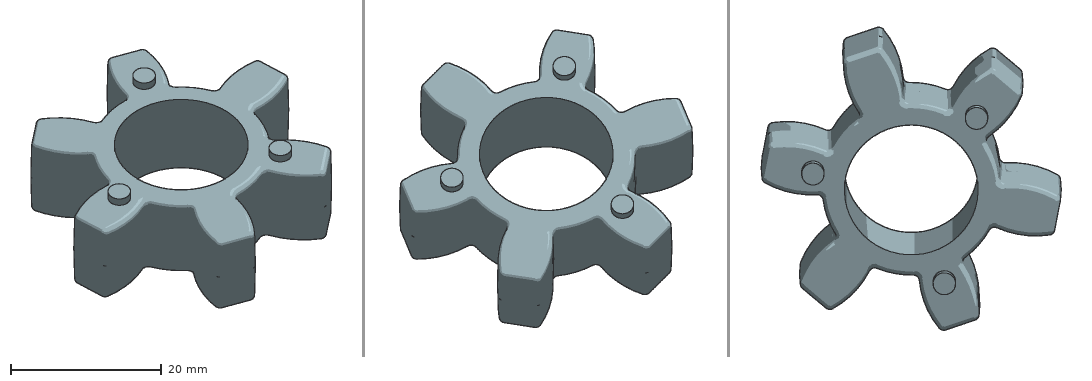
import cadquery as cq
import math

overall_diameter = 39.85
leg_count = 6
leg_half_width = 3.62
leg_widest_radius = 15.2
leg_side_radius = 12.5
hub_radius = 11.95
bore_radius = 8.9
body_height = 12.36
overall_height = 14.66
draft_angle = 1.0
root_radius = 0.8
edge_radius = 0.8
pin_radius = 1.5
pin_circle_radius = 13.33
pin_count = 3
first_pin_angle = -90

tip_radius = overall_diameter / 2
half_height = body_height / 2
pin_height = (overall_height - body_height) / 2
leg_pitch = 360 / leg_count
leg_start_radius = (bore_radius + hub_radius) / 2


def flank_half_width(distance):
    """Half width of a leg at a distance from the axis, on the bulged flank arc."""
    offset = distance - leg_widest_radius
    sagitta = leg_side_radius - math.sqrt(leg_side_radius**2 - offset**2)
    return leg_half_width - sagitta


def make_leg():
    """One drafted barrel-shaped leg along +Y, above the parting plane."""
    root_half = flank_half_width(leg_start_radius)
    tip_half = flank_half_width(tip_radius)
    return (
        cq.Workplane("XY")
        .moveTo(root_half, leg_start_radius)
        .threePointArc((leg_half_width, leg_widest_radius), (tip_half, tip_radius))
        .lineTo(-tip_half, tip_radius)
        .threePointArc((-leg_half_width, leg_widest_radius), (-root_half, leg_start_radius))
        .close()
        .extrude(half_height, taper=draft_angle)
    )


def rising_edges_between(body, inner, outer):
    """Edges running up the full half height, at a distance range from the axis."""
    def is_wanted(edge):
        center = edge.Center()
        distance = math.hypot(center.x, center.y)
        return edge.BoundingBox().zlen > half_height / 2 and inner < distance < outer
    return [edge for edge in body.edges().vals() if is_wanted(edge)]


def make_half_body():
    """Upper half of the spider with its outer edges rounded and its bore cut."""
    body = cq.Workplane("XY").circle(hub_radius).extrude(half_height, taper=draft_angle)
    leg = make_leg()
    for index in range(leg_count):
        body = body.union(leg.rotate((0, 0, 0), (0, 0, 1), index * leg_pitch))
    root_edges = rising_edges_between(body, bore_radius, leg_widest_radius)
    body = body.newObject(root_edges).fillet(root_radius)
    tip_edges = rising_edges_between(body, leg_widest_radius, 2 * tip_radius)
    rim_edges = body.faces(">Z").edges().vals()
    body = body.newObject(tip_edges + rim_edges).fillet(edge_radius)
    return body.cut(cq.Workplane("XY").circle(bore_radius).extrude(half_height))


def make_pins():
    """Spacer pins on the upper face, starting on the leg along -Y."""
    return (
        cq.Workplane("XY")
        .workplane(offset=half_height - edge_radius)
        .polarArray(pin_circle_radius, first_pin_angle, 360, pin_count)
        .circle(pin_radius)
        .extrude(edge_radius + pin_height)
    )


upper_half = make_half_body()
lower_half = upper_half.mirror("XY")
upper_pins = make_pins()
lower_pins = upper_pins.mirror("XY").rotate((0, 0, 0), (0, 0, 1), leg_pitch)

result = upper_half.union(lower_half).union(upper_pins).union(lower_pins)